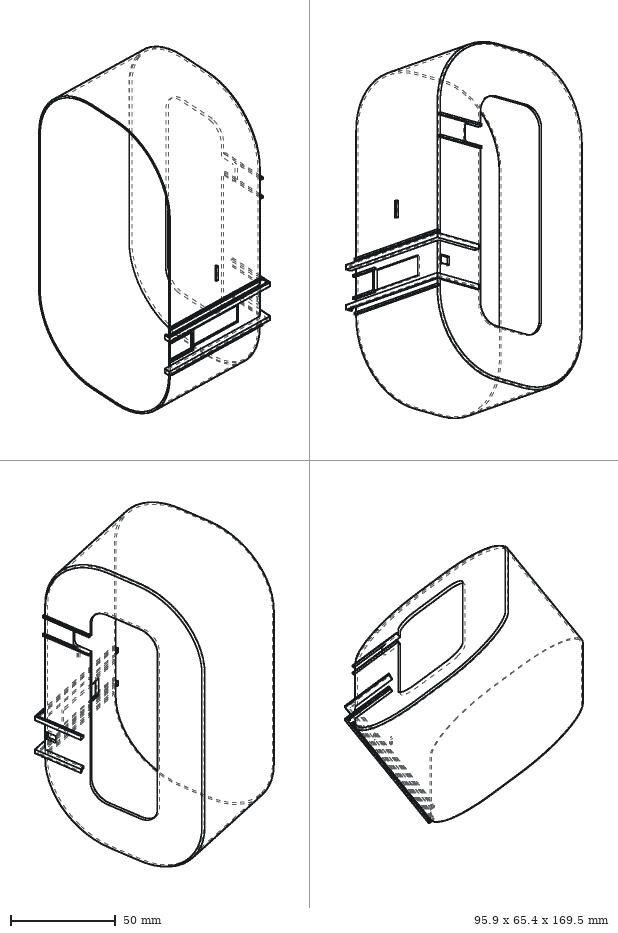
import cadquery as cq


height = 169.5
width = 92.7
depth = 59.2
corner_radius = 37.8
wall = 1.0
back_thickness = 1.5
back_chamfer = 1.0
side_x = width / 2

opening_width = 39.0
opening_height = 115.6
opening_radius = 10.0
notch_end_x = 29.3
notch_height = 10.2
notch_z = 35.3
notch_radius = 2.0

rail_pair_z = -31.7
window_height = 10.2
window_length = 29.8
window_y = 29.2
hole_width = 5.3
hole_height = 4.2
hole_start_x = 39.5

rail_pair_height = 22.5
rail_height = 2.4
rail_thickness = 1.0
rail_fillet = 1.0
rail_side_reach = 3.2
rail_back_reach = 2.7
rail_front_reach = 3.5
rail_back_start_x = 23.0

rib_height = 1.0
rib_width = 1.0
outer_rib_spacing = 27.3
bar_length = 8.5


def box(x, y, z):
    """Box given by its (low, high) limits along each axis."""
    size = [high - low for low, high in (x, y, z)]
    return cq.Workplane("XY").box(*size, centered=False).translate((x[0], y[0], z[0]))


def centered_span(middle, length):
    return (middle - length / 2, middle + length / 2)


def rounded_block(x_size, z_size, radius, y_start, y_end):
    block = cq.Workplane("XY").box(x_size, y_end - y_start, z_size)
    return block.edges("|Y").fillet(radius).translate((0, (y_start + y_end) / 2, 0))


def make_shell():
    outer = rounded_block(width, height, corner_radius, 0, depth)
    outer = outer.faces(">Y").edges().chamfer(back_chamfer)
    cavity = rounded_block(
        width - 2 * wall, height - 2 * wall, corner_radius - wall, 0, depth - back_thickness
    )
    return outer.cut(cavity)


def make_plate_cuts():
    plate_y = (depth - back_thickness, depth)
    opening = rounded_block(opening_width, opening_height, opening_radius, *plate_y)
    notch = box((0, notch_end_x), plate_y, centered_span(notch_z, notch_height))
    notch = notch.edges("|Y and >X").fillet(notch_radius)
    hole_x = (hole_start_x, hole_start_x + hole_width)
    hole = box(hole_x, plate_y, centered_span(rail_pair_z, hole_height))
    return opening.union(notch).union(hole)


def make_rail():
    """Upper rail: the web is at the bottom and the flange stands up from its outer edge."""
    outer_x = side_x + rail_side_reach
    front_y = -rail_front_reach
    back_y = depth + rail_back_reach
    top_z = rail_pair_z + rail_pair_height / 2
    base_z = top_z - rail_height
    block = box((rail_back_start_x, outer_x), (front_y, back_y), (base_z, top_z))
    slot = box(
        (0, outer_x - rail_thickness),
        (front_y + rail_thickness, back_y - rail_thickness),
        (base_z + rail_thickness, top_z + rail_fillet),
    )
    slot = slot.faces("<Z").edges("not <X").fillet(rail_fillet)
    housing_space = box((0, side_x - wall / 2), (0, depth - wall / 2), (base_z, top_z))
    front_space = box((0, side_x), (front_y, 0), (base_z, top_z))
    return block.cut(slot).cut(housing_space).cut(front_space)


def make_side_ribs():
    """Ribs on the +X face: an outer pair, an inner pair hooked over the rim, and two uprights."""
    rib_x = (side_x, side_x + rib_height)
    window_front_y = window_y - window_length / 2
    inner_rib_spacing = window_height + rib_width
    upright_y = (window_front_y - rib_width, window_front_y)
    ribs = box(rib_x, upright_y, centered_span(rail_pair_z, inner_rib_spacing))
    ribs = ribs.add(box(rib_x, centered_span(depth / 2, rib_width), centered_span(0, bar_length)))
    for side in (-1, 1):
        outer_z = centered_span(rail_pair_z + side * outer_rib_spacing / 2, rib_width)
        ribs = ribs.add(box(rib_x, (0, depth), outer_z))
        inner_z = centered_span(rail_pair_z + side * inner_rib_spacing / 2, rib_width)
        ribs = ribs.add(box(rib_x, (-rib_height, window_front_y), inner_z))
    return ribs


def make_notch_ribs():
    """Ribs on the back face, level with the notch edges and running out to the +X corner."""
    rib_x = (opening_width / 2, side_x)
    rib_y = (depth, depth + rib_height)
    ribs = cq.Workplane("XY")
    for side in (-1, 1):
        rib_z = notch_z + side * (notch_height + rib_width) / 2
        ribs = ribs.add(box(rib_x, rib_y, centered_span(rib_z, rib_width)))
    return ribs


upper_rail = make_rail()
lower_rail = upper_rail.mirror("XY", (0, 0, rail_pair_z))
window = box(
    (side_x - wall, side_x),
    centered_span(window_y, window_length),
    centered_span(rail_pair_z, window_height),
)

result = (
    make_shell()
    .union(make_side_ribs())
    .union(make_notch_ribs())
    .union(upper_rail)
    .union(lower_rail)
    .cut(make_plate_cuts())
    .cut(window)
)